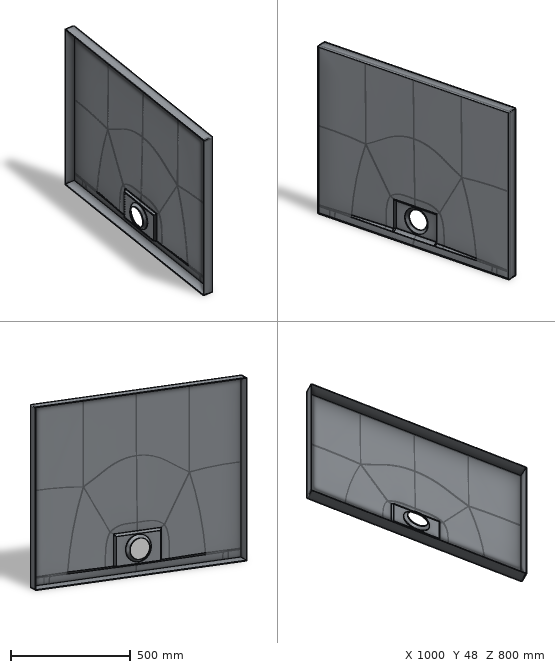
import cadquery as cq

width = 1000.0
depth = 48.0
height = 800.0
wall = 7.0
wall_mouth = 4.0
floor_sheet = 4.0
edge_round = wall

rim_y = depth / 2 - floor_sheet
ridge_y = 16.5
peak_y = 16.0
toe_y = 15.0
base_y = 7.5
drain_y = -2.0
strip_y = 17.5

box_base_x = 112.0
box_face_x = 105.0
box_base_z = -212.0
box_face_z = -222.0

spigot_z = -285.0
spigot_base_radius = 60.0
spigot_tip_radius = 46.5
spigot_length = 13.0

step_side_z = -355.0
step_z = -352.0
strip_side_z = -360.0
strip_z = -363.0
strip_flat_x = 434.0
strip_tilt_x = 409.0

inner_x = width / 2 - wall
inner_z = height / 2 - wall

top_wall = (-inner_x, rim_y, inner_z)
top_crease = (-250.0, rim_y, inner_z)
top_middle = (0, rim_y, inner_z)
side_wall = (-inner_x, rim_y, 21.0)
side_wall_foot = (-inner_x, rim_y, step_side_z)
ridge = (-250.0, ridge_y, 9.0)
peak = (0, peak_y, 113.0)
toe = (-325.0, toe_y, step_z)
apron_foot = (-151.0, base_y, step_z)
apron_corner = (-128.0, 8.5, -202.0)
apron_top = (0, 9.5, -176.0)
base_foot = (-box_base_x, base_y, step_z)
base_corner = (-box_base_x, base_y, box_base_z)
base_top = (0, base_y, box_base_z)
face_foot = (-box_face_x, drain_y, step_z)
face_corner = (-box_face_x, drain_y, box_face_z)
face_top = (0, drain_y, box_face_z)
face_foot_middle = (0, drain_y, step_z)


def line(start, end):
    return cq.Edge.makeLine(cq.Vector(*start), cq.Vector(*end))


def arc(start, middle, end):
    return cq.Edge.makeThreePointArc(cq.Vector(*start), cq.Vector(*middle), cq.Vector(*end))


def curve(points, start_direction, end_direction):
    """Smooth curve through the points with given directions at its ends."""
    return cq.Edge.makeSpline(
        [cq.Vector(*point) for point in points],
        tangents=[cq.Vector(*start_direction), cq.Vector(*end_direction)],
    )


def thicken(face):
    return cq.Solid.extrudeLinear(face, cq.Vector(0, floor_sheet, 0))


def ruled_plate(edge_a, edge_b):
    """Sheet spanned by straight lines between two edges."""
    return thicken(cq.Face.makeRuledSurface(edge_a, edge_b))


def point_between(start, end, x):
    """Point at the given x on the straight line from start to end."""
    t = (x - start[0]) / (end[0] - start[0])
    return tuple(a + t * (b - a) for a, b in zip(start, end))


level = (1, 0, 0)
downward = (0, 0, -1)
wall_crease = arc(side_wall, (-360.0, 18.5, 19.0), ridge)
dish_crease = curve([ridge, (-125.0, 16.2, 82.0), peak], (2, 0, 1), level)
toe_crease = arc(ridge, (-310.0, 16.0, -230.0), toe)
apron_side = curve([apron_corner, (-146.0, 8.0, -250.0), apron_foot], (-1, 0, -1.4), downward)
apron_head = curve([apron_corner, (-71.0, 9.2, -177.0), apron_top], (1, 0, 0.9), level)


def floor_plates():
    side_outline = [
        wall_crease,
        toe_crease,
        line(toe, side_wall_foot),
        line(side_wall_foot, side_wall),
    ]
    return [
        ruled_plate(line(top_wall, top_crease), wall_crease),
        ruled_plate(line(top_crease, top_middle), dish_crease),
        thicken(cq.Face.makeNSidedSurface(side_outline, [])),
        ruled_plate(toe_crease, apron_side),
        ruled_plate(dish_crease, apron_head),
    ]


def drain_box_plates():
    return [
        ruled_plate(apron_side, line(base_corner, base_foot)),
        ruled_plate(apron_head, line(base_corner, base_top)),
        ruled_plate(line(base_corner, base_foot), line(face_corner, face_foot)),
        ruled_plate(line(base_corner, base_top), line(face_corner, face_top)),
        ruled_plate(line(face_corner, face_top), line(face_foot, face_foot_middle)),
    ]


def step_and_strip_plates():
    """Sloping step below the floor, and the shallow strip between it and the bottom wall."""
    step_edge = [
        side_wall_foot,
        point_between(side_wall_foot, toe, -strip_flat_x),
        point_between(side_wall_foot, toe, -strip_tilt_x),
        toe,
        apron_foot,
        base_foot,
        face_foot,
        face_foot_middle,
    ]
    strip_start = (-inner_x, rim_y, strip_side_z)
    strip_end = (0, rim_y, strip_z)
    strip_edge = []
    for x, _, _ in step_edge:
        z = point_between(strip_start, strip_end, x)[2]
        y = rim_y if x <= -strip_flat_x else strip_y
        strip_edge.append((x, y, z))

    plates = []
    for i in range(len(step_edge) - 1):
        upper = line(step_edge[i], step_edge[i + 1])
        middle = line(strip_edge[i], strip_edge[i + 1])
        plates.append(ruled_plate(upper, middle))

    for first, last in ((0, 1), (1, 2), (2, len(strip_edge) - 1)):
        start, end = strip_edge[first], strip_edge[last]
        foot = line((start[0], rim_y, -inner_z), (end[0], rim_y, -inner_z))
        plates.append(ruled_plate(line(start, end), foot))
    return plates


def spigot_wall():
    """Hollow cone, open at its tip, with the same thickness along Y as the floor."""
    tip_y = drain_y - spigot_length
    profile = [
        (spigot_base_radius, drain_y),
        (spigot_tip_radius, tip_y),
        (spigot_tip_radius, tip_y + floor_sheet),
        (spigot_base_radius, drain_y + floor_sheet),
    ]
    ring = cq.Workplane("XY").polyline(profile).close().revolve(360, (0, 0, 0), (0, 1, 0))
    return ring.translate((0, 0, spigot_z))


def drain_opening():
    """Cylinder along Y that clears the floor inside the base of the spigot."""
    return (
        cq.Workplane("XZ", origin=(0, depth, spigot_z))
        .circle(spigot_base_radius)
        .extrude(2 * depth)
    )


block = cq.Workplane("XY").box(width, depth, height)
block = block.edges("|Y").fillet(edge_round).faces(">Y").edges().fillet(edge_round)
floor_window = cq.Workplane("XY").box(2 * inner_x, depth, 2 * inner_z)
mouth_flare = (
    cq.Workplane("XZ", origin=(0, -depth / 2, 0))
    .rect(width - 2 * wall_mouth, height - 2 * wall_mouth)
    .workplane(offset=-(rim_y + depth / 2))
    .rect(2 * inner_x, 2 * inner_z)
    .loft(ruled=True)
)
rim = block.cut(floor_window).cut(mouth_flare)

plates = floor_plates() + drain_box_plates() + step_and_strip_plates()
half_floor = plates[0].fuse(*plates[1:])
floor = half_floor.fuse(half_floor.mirror("YZ"))

tray = rim.union(cq.Workplane("XY").add(floor), clean=False)
tray = tray.cut(drain_opening(), clean=False).union(spigot_wall(), clean=False)
result = cq.Workplane("XY").add(tray.solids().vals())